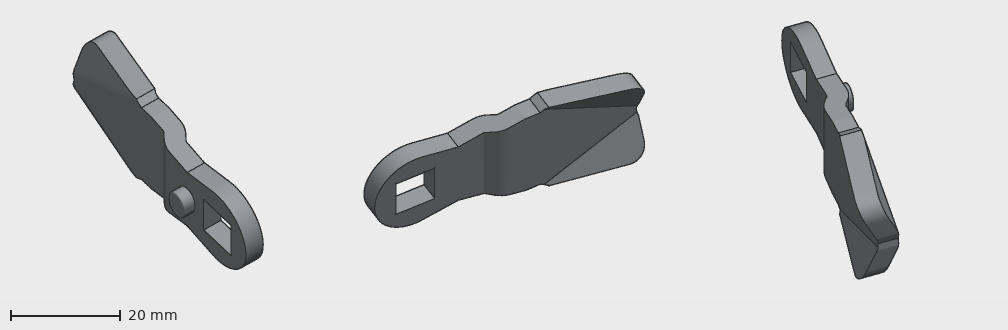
import cadquery as cq
import math

length = 53.95
thickness = 4.0

head_radius = 8.5
head_x = length - head_radius
waist_x = 36.45
waist_half_width = 7.1
shoulder_x = 23.45
neck_x = 20.4
neck_half_width = 9.55
wing_end_x = 18.8
max_half_width = 10.45
wing_tip_half_width = 10.0
corner_length = 3.8
corner_start_z = 6.2
notch_depth = 0.3
notch_half_width = 1.55

step_start_x = 26.8
step_height = 1.9
step_angle = math.radians(35)
step_inner_radius = 0.8
step_outer_radius = step_inner_radius + thickness

fold_apex_x = -1.6
fold_line_angle = math.degrees(math.atan(0.473))
wing_bend_angle = math.radians(25.9)
wing_reach = 21.6
fold_length = 32.35

square_size = 8.1
pin_width = 4.55
pin_length = 5.65
pin_height = 2.55
pin_edge_radius = 0.25


def arc_point(center, radius, angle):
    """Point at an angle measured clockwise from the +Y direction."""
    return (center[0] + radius * math.sin(angle), center[1] + radius * math.cos(angle))


def make_stepped_sheet():
    """Sheet profile in XY, with concentric bends, extruded across the width."""
    blade_back = step_height + thickness
    bend_rise = (step_inner_radius + step_outer_radius) * (1 - math.cos(step_angle))
    straight_run = (step_height - bend_rise) / math.tan(step_angle)
    bend_run = (step_inner_radius + step_outer_radius) * math.sin(step_angle)
    step_end_x = step_start_x + bend_run + straight_run
    blade_center = (step_start_x, step_height - step_inner_radius)
    head_center = (step_end_x, step_outer_radius)
    half = step_angle / 2
    return (
        cq.Workplane("XY")
        .moveTo(0, step_height)
        .lineTo(step_start_x, step_height)
        .threePointArc(
            arc_point(blade_center, step_inner_radius, half),
            arc_point(blade_center, step_inner_radius, step_angle),
        )
        .lineTo(*arc_point(head_center, -step_outer_radius, step_angle))
        .threePointArc(arc_point(head_center, -step_outer_radius, half), (step_end_x, 0))
        .lineTo(length, 0)
        .lineTo(length, thickness)
        .lineTo(step_end_x, thickness)
        .threePointArc(
            arc_point(head_center, -step_inner_radius, half),
            arc_point(head_center, -step_inner_radius, step_angle),
        )
        .lineTo(*arc_point(blade_center, step_outer_radius, step_angle))
        .threePointArc(
            arc_point(blade_center, step_outer_radius, half), (step_start_x, blade_back)
        )
        .lineTo(0, blade_back)
        .close()
        .extrude(max_half_width, both=True)
    )


def place_on_fold(shape):
    """Turn a shape built along +X so that it follows the upper fold line."""
    return shape.rotate((0, 0, 0), (0, 1, 0), -fold_line_angle).translate(
        (fold_apex_x, step_height, 0)
    )


def make_upper_wing():
    """Folded sheet with a sharp inner crease and an outer radius of one thickness."""
    def outer_arc(angle):
        return (thickness * (1 - math.cos(angle)), thickness * math.sin(angle))

    rise = wing_reach * math.sin(wing_bend_angle)
    run = wing_reach * math.cos(wing_bend_angle)
    arc_end = outer_arc(wing_bend_angle)
    section_plane = cq.Plane(origin=(0, 0, 0), xDir=(0, 1, 0), normal=(1, 0, 0))
    wing = (
        cq.Workplane(section_plane)
        .moveTo(0, 0)
        .threePointArc(outer_arc(wing_bend_angle / 2), arc_end)
        .lineTo(arc_end[0] + rise, arc_end[1] + run)
        .lineTo(thickness + rise, run)
        .lineTo(thickness, 0)
        .close()
        .extrude(fold_length)
    )
    return place_on_fold(wing)


def make_upper_fold_clearance():
    """Region of flat sheet beyond the upper fold line."""
    return place_on_fold(
        cq.Workplane("XY").box(fold_length, thickness, wing_reach, centered=(False, False, False))
    )


def make_outline():
    """Plan outline in XZ, extruded through the full depth of the part."""
    waist_dx = waist_x - head_x
    waist_distance = math.hypot(waist_dx, waist_half_width)
    tangent_angle = math.atan2(waist_half_width, waist_dx) - math.acos(head_radius / waist_distance)
    tangent_x = head_x + head_radius * math.cos(tangent_angle)
    tangent_z = head_radius * math.sin(tangent_angle)
    corner_height = wing_tip_half_width - corner_start_z
    corner_mid = (
        corner_length * (1 - math.sqrt(0.5)),
        corner_start_z + corner_height * math.sqrt(0.5),
    )
    cut_depth = 2 * wing_reach
    upper_edge = [
        (wing_end_x, max_half_width),
        (neck_x, neck_half_width),
        (shoulder_x, neck_half_width),
        (waist_x, waist_half_width),
        (tangent_x, tangent_z),
    ]
    outline = (
        cq.Workplane("XZ")
        .moveTo(notch_depth, 0)
        .lineTo(0, notch_half_width)
        .lineTo(0, corner_start_z)
        .threePointArc(corner_mid, (corner_length, wing_tip_half_width))
    )
    for point in upper_edge:
        outline = outline.lineTo(*point)
    outline = outline.threePointArc((length, 0), (tangent_x, -tangent_z))
    for x, z in reversed(upper_edge[:-1]):
        outline = outline.lineTo(x, -z)
    return (
        outline.lineTo(corner_length, -wing_tip_half_width)
        .threePointArc((corner_mid[0], -corner_mid[1]), (0, -corner_start_z))
        .lineTo(0, -notch_half_width)
        .close()
        .extrude(cut_depth, both=True)
    )


def make_pin():
    """Oblong pin standing forward of the head, with a rounded front edge."""
    return (
        cq.Workplane("XZ")
        .center(waist_x, 0)
        .slot2D(pin_length, pin_width, 90)
        .extrude(pin_height)
        .faces("<Y")
        .edges()
        .fillet(pin_edge_radius)
    )


def make_square_hole():
    return (
        cq.Workplane("XZ")
        .center(head_x, 0)
        .rect(square_size, square_size)
        .extrude(-thickness)
    )


upper_wing = make_upper_wing()
upper_clearance = make_upper_fold_clearance()
body = make_stepped_sheet()
for clearance in (upper_clearance, upper_clearance.mirror("XY")):
    body = body.cut(clearance)
for wing in (upper_wing, upper_wing.mirror("XY")):
    body = body.union(wing)

result = body.intersect(make_outline()).cut(make_square_hole()).union(make_pin())